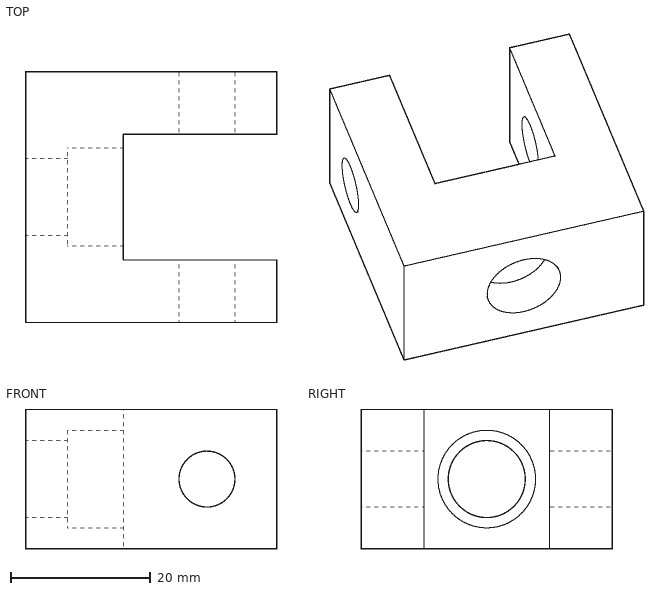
import cadquery as cq

side = 36.0
height = 20.0
base_thickness = 14.0
arm_thickness = side / 4
pin_hole_diameter = 8.0
pin_hole_from_tip = 10.0
shank_hole_diameter = 11.0
shank_hole_length = 6.0
head_bore_diameter = 14.0

slot_length = side - base_thickness
slot_width = side - 2 * arm_thickness
pin_hole_x = side / 2 - pin_hole_from_tip

block = cq.Workplane("XY").box(side, side, height)

slot = (
    cq.Workplane("XY")
    .box(slot_length, slot_width, height)
    .translate((side / 2 - slot_length / 2, 0, 0))
)

pin_hole = (
    cq.Workplane("XZ")
    .center(pin_hole_x, 0)
    .circle(pin_hole_diameter / 2)
    .extrude(side / 2, both=True)
)

shank_hole = (
    cq.Workplane("YZ")
    .circle(shank_hole_diameter / 2)
    .extrude(side / 2, both=True)
)

head_bore = (
    cq.Workplane("YZ", origin=(-side / 2 + shank_hole_length, 0, 0))
    .circle(head_bore_diameter / 2)
    .extrude(base_thickness - shank_hole_length)
)

result = block.cut(slot).cut(pin_hole).cut(shank_hole).cut(head_bore)